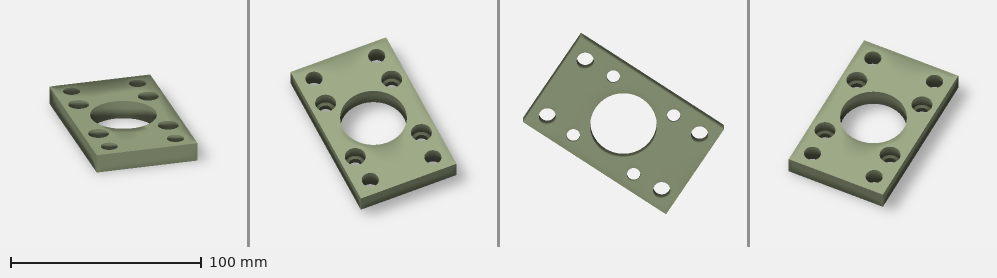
import cadquery as cq

length = 90.0
width = 55.0
thickness = 10.0

bore_diameter = 35.0

corner_hole_diameter = 9.0
corner_spacing_x = 72.0
corner_spacing_y = 36.0

screw_hole_diameter = 7.0
counterbore_diameter = 11.0
counterbore_depth = 6.8
screw_spacing = 38.0

plate = cq.Workplane("XY").box(length, width, thickness)

result = (
    plate.faces(">Z").workplane()
    .hole(bore_diameter)
    .faces(">Z").workplane(origin=(0, 0, 0))
    .rarray(corner_spacing_x, corner_spacing_y, 2, 2)
    .hole(corner_hole_diameter)
    .faces(">Z").workplane(origin=(0, 0, 0))
    .rarray(screw_spacing, screw_spacing, 2, 2)
    .cboreHole(screw_hole_diameter, counterbore_diameter, counterbore_depth)
)